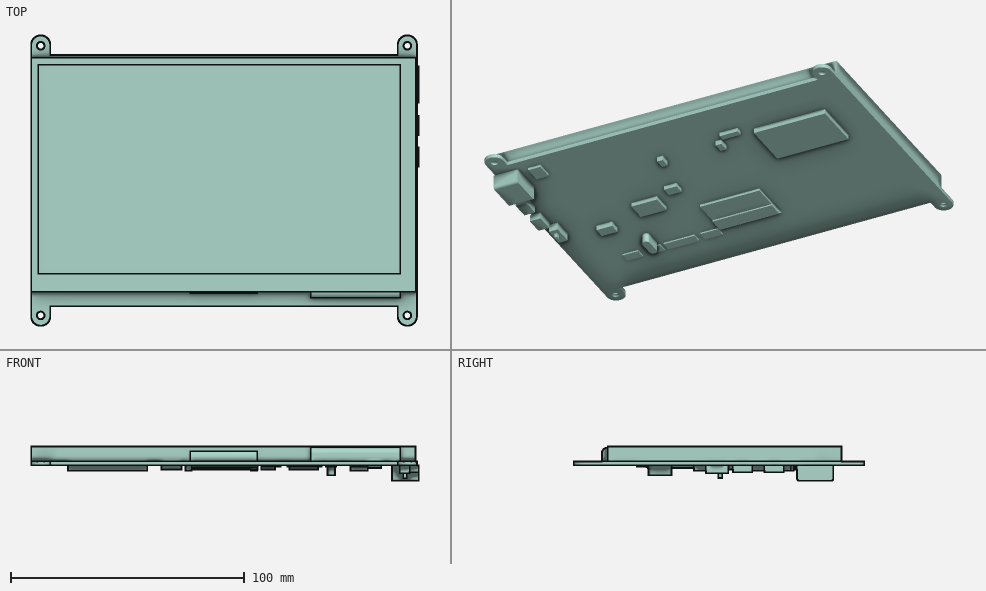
import cadquery as cq


board_width = 165.2
board_depth = 107.6
board_thickness = 1.7
lug_span = 124.4
lug_width = 8.3
lug_radius = lug_width / 2
lug_hole_diameter = 3.2
lug_hole_inset = 4.5
board_bottom = -board_thickness

panel_width = 164.5
panel_thickness = 6.5
panel_front = -47.7
panel_back = 52.5
screen_left = 3.2
screen_right = 158.0
screen_front = -39.9
screen_back = 49.5
screen_recess = 0.08

narrow_tail_left = 68.0
narrow_tail_right = 96.8
narrow_tail_height = 4.3
narrow_tail_reach = 0.7
narrow_tail_wall = 1.8
narrow_tail_bend = 4.8
wide_tail_left = 119.7
wide_tail_right = 158.0
wide_tail_height = 6.0
wide_tail_reach = 2.5

connector_right = 166.0
hdmi_length = 11.6
hdmi_front = 33.4
hdmi_back = 49.0
hdmi_height = 6.6
hdmi_rounding = 1.0
usb_length = 5.1
usb_width = 8.3
usb_height = 3.0
usb_centers = (23.5, 10.1)


def underside_block(left, right, front, back, height):
    """A box hanging from the bottom face of the board."""
    return (
        cq.Workplane("XY", origin=(0, 0, board_bottom))
        .center((left + right) / 2, (front + back) / 2)
        .rect(right - left, back - front)
        .extrude(-height)
    )


def bare_board():
    board = (
        cq.Workplane("XY")
        .center(board_width / 2, 0)
        .rect(board_width, board_depth)
        .extrude(-board_thickness)
    )
    lug_x = (lug_radius, board_width - lug_radius)
    for x in lug_x:
        strip = (
            cq.Workplane("XY")
            .center(x, 0)
            .slot2D(lug_span, lug_width, 90)
            .extrude(-board_thickness)
        )
        board = board.union(strip)
    hole_y = lug_span / 2 - lug_hole_inset
    hole_places = [(x, y) for x in lug_x for y in (-hole_y, hole_y)]
    holes = (
        cq.Workplane("XY")
        .pushPoints(hole_places)
        .circle(lug_hole_diameter / 2)
        .extrude(-board_thickness)
    )
    return board.cut(holes)


def hdmi_socket():
    left = connector_right - hdmi_length
    socket = underside_block(left, connector_right, hdmi_front, hdmi_back, hdmi_height)
    return socket.edges("|X and <Z").fillet(hdmi_rounding)


def usb_socket(center):
    return underside_block(
        connector_right - usb_length,
        connector_right,
        center - usb_width / 2,
        center + usb_width / 2,
        usb_height,
    )


switch_left = 157.9
switch_right = 162.0
switch_front = -5.6
switch_back = 4.0
switch_height = 3.5
lever_left = 159.4
lever_right = 160.7
lever_front = -0.3
lever_back = 1.5
lever_height = 5.5


def power_switch():
    body = underside_block(switch_left, switch_right, switch_front, switch_back, switch_height)
    lever = underside_block(lever_left, lever_right, lever_front, lever_back, lever_height)
    return body.union(lever)


crystal_width = 3.3
crystal_length = 10.0
crystal_height = 4.3
crystal_x = 128.5
crystal_y = -25.2


def crystal():
    return (
        cq.Workplane("XY", origin=(0, 0, board_bottom))
        .center(crystal_x, crystal_y)
        .slot2D(crystal_length, crystal_width, 90)
        .extrude(-crystal_height)
    )


flex_left = 68.7
flex_right = 97.1
flex_back = -10.8
flex_base_height = 1.2
flex_latch_back = -22.5
flex_latch_height = 1.8
flex_front = -32.5
flex_bend_y = -30.5
flex_bend_height = 1.0
flex_latch_front = -29.9


def flex_connector():
    return (
        cq.Workplane("YZ", origin=(flex_left, 0, board_bottom))
        .moveTo(flex_back, 0)
        .lineTo(flex_back, -flex_base_height)
        .lineTo(flex_latch_back, -flex_base_height)
        .lineTo(flex_latch_back, -flex_latch_height)
        .lineTo(flex_latch_front, -flex_latch_height)
        .lineTo(flex_bend_y, -flex_bend_height)
        .lineTo(flex_front, 0)
        .close()
        .extrude(flex_right - flex_left)
    )


plain_components = (
    (15.8, 49.8, 9.6, 32.0, 2.3),
    (55.8, 64.5, 32.7, 35.7, 1.8),
    (66.1, 68.7, 25.9, 30.7, 2.3),
    (94.2, 96.8, 25.9, 30.7, 2.3),
    (98.5, 104.5, 4.2, 9.0, 1.8),
    (110.6, 122.9, -5.6, 3.5, 1.8),
    (136.7, 144.1, -10.8, -5.6, 2.3),
    (144.1, 150.0, 39.9, 47.8, 1.2),
)

front_row_front = -35.2
front_row_back = -30.5
front_row_height = 0.7
front_row_spans = ((98.5, 107.0), (109.8, 124.5), (126.2, 130.7), (136.7, 144.1))


def driver_board():
    board = bare_board().union(hdmi_socket())
    for center in usb_centers:
        board = board.union(usb_socket(center))
    board = board.union(power_switch()).union(crystal()).union(flex_connector())
    for component in plain_components:
        board = board.union(underside_block(*component))
    for left, right in front_row_spans:
        chip = underside_block(left, right, front_row_front, front_row_back, front_row_height)
        board = board.union(chip)
    return board


def narrow_tail():
    """Low tail whose upper face bulges from the panel down to a short wall."""
    outer = panel_front - narrow_tail_reach
    return (
        cq.Workplane("YZ", origin=(narrow_tail_left, 0, 0))
        .moveTo(panel_front, 0)
        .lineTo(outer, 0)
        .lineTo(outer, narrow_tail_wall)
        .radiusArc((panel_front, narrow_tail_height), narrow_tail_bend)
        .close()
        .extrude(narrow_tail_right - narrow_tail_left)
    )


def wide_tail():
    """Tall tail whose upper face is a quarter round."""
    outer = panel_front - wide_tail_reach
    return (
        cq.Workplane("YZ", origin=(wide_tail_left, 0, 0))
        .moveTo(panel_front, 0)
        .lineTo(outer, 0)
        .lineTo(outer, wide_tail_height - wide_tail_reach)
        .radiusArc((panel_front, wide_tail_height), wide_tail_reach)
        .close()
        .extrude(wide_tail_right - wide_tail_left)
    )


def display_panel():
    panel = (
        cq.Workplane("XY")
        .center(panel_width / 2, (panel_front + panel_back) / 2)
        .rect(panel_width, panel_back - panel_front)
        .extrude(panel_thickness)
    )
    screen = (
        cq.Workplane("XY", origin=(0, 0, panel_thickness))
        .center((screen_left + screen_right) / 2, (screen_front + screen_back) / 2)
        .rect(screen_right - screen_left, screen_back - screen_front)
        .extrude(-screen_recess)
    )
    return panel.cut(screen).union(narrow_tail()).union(wide_tail())


board = driver_board()
panel = display_panel()

result = cq.Compound.makeCompound([board.val(), panel.val()])